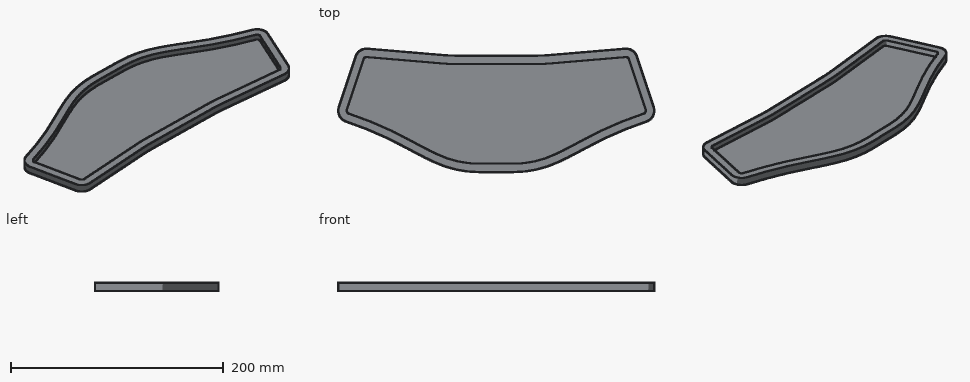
import cadquery as cq
import math

overall_width = 297.08
overall_depth = 116.22
thickness = 8.0

rim_width = 8.0
floor_thickness = 2.0
corner_radius = 11.0

end_lean = math.degrees(math.atan(1 / 3))

front_flat_half = 15.9
nose_radius = 100.0
nose_angle = 25.3
shoulder_half = 83.2
shoulder_angle = 28.9
sweep_end_angle = end_lean

back_rise_angle = 4.83
back_flat_half = 36.3
back_bend_radius = 175.0


def polar(center, radius, angle):
    """Point at a radius and an angle in degrees from a center."""
    turn = math.radians(angle)
    return (center[0] + radius * math.cos(turn), center[1] + radius * math.sin(turn))


def arc_rise(run, start_angle, end_angle):
    """Height gained over a horizontal run by an arc turning between two steepness angles."""
    return run * math.tan(math.radians((start_angle + end_angle) / 2))


def front_edge_points(corner_end_x):
    """Ends of the right half of the front edge's arcs, from the flat to the corner."""
    nose_x = front_flat_half + nose_radius * math.sin(math.radians(nose_angle))
    nose_y = arc_rise(nose_x - front_flat_half, 0, nose_angle)
    shoulder_y = nose_y + arc_rise(shoulder_half - nose_x, nose_angle, shoulder_angle)
    sweep_y = shoulder_y + arc_rise(corner_end_x - shoulder_half, shoulder_angle, sweep_end_angle)
    return [
        (front_flat_half, 0),
        (nose_x, nose_y),
        (shoulder_half, shoulder_y),
        (corner_end_x, sweep_y),
    ]


def plate_outline():
    """Closed outline of the whole plate, mirrored about the Y axis."""
    end_normal = end_lean
    front_normal = sweep_end_angle - 90
    back_normal = 90 + back_rise_angle

    front_center_x = overall_width / 2 - corner_radius
    corner_end_x, _ = polar((front_center_x, 0), corner_radius, front_normal)
    flat_end, nose_end, shoulder, sweep_end = front_edge_points(corner_end_x)
    front_center_y = sweep_end[1] - corner_radius * math.sin(math.radians(front_normal))
    front_center = (front_center_x, front_center_y)

    back_center_y = overall_depth - corner_radius
    back_center_x = front_center_x - (back_center_y - front_center_y) * math.tan(math.radians(end_lean))
    back_center = (back_center_x, back_center_y)
    back_corner_end = polar(back_center, corner_radius, back_normal)

    back_slope = math.tan(math.radians(back_rise_angle))
    bend_run = back_bend_radius * math.sin(math.radians(back_rise_angle))
    bend_end_x = back_flat_half + bend_run
    bend_end_y = back_corner_end[1] - (back_corner_end[0] - bend_end_x) * back_slope
    back_flat_y = bend_end_y - arc_rise(bend_run, 0, back_rise_angle)

    return (
        cq.Workplane("XY")
        .lineTo(*flat_end)
        .tangentArcPoint(nose_end, relative=False)
        .tangentArcPoint(shoulder, relative=False)
        .tangentArcPoint(sweep_end, relative=False)
        .threePointArc(polar(front_center, corner_radius, (front_normal + end_normal) / 2),
                       polar(front_center, corner_radius, end_normal))
        .lineTo(*polar(back_center, corner_radius, end_normal))
        .threePointArc(polar(back_center, corner_radius, (end_normal + back_normal) / 2),
                       back_corner_end)
        .lineTo(bend_end_x, bend_end_y)
        .tangentArcPoint((back_flat_half, back_flat_y), relative=False)
        .lineTo(0, back_flat_y)
        .mirrorY()
    )


def make_tray():
    """Plate with a recess that leaves an even rim all around."""
    plate = plate_outline().extrude(thickness)
    recess = (
        plate_outline()
        .offset2D(-rim_width)
        .extrude(thickness - floor_thickness)
        .translate((0, 0, floor_thickness))
    )
    return plate.cut(recess)


result = make_tray()